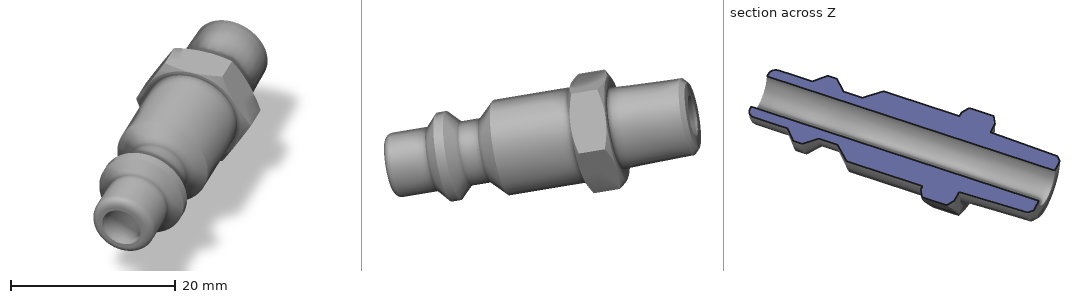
import cadquery as cq
import math

TOTAL_LENGTH = 38.0
BORE_DIAMETER = 5.0

NOSE_RADIUS = 7.95 / 2
TIP_FILLET = 1.0
RING_RADIUS = 11.0 / 2
RING_SLOPE_START = 5.4
RING_LAND_START = 6.8
RING_LAND_END = 8.0
RING_SLOPE_END = 9.55

BODY_RADIUS = 11.8 / 2
NECK_END = 12.0
BODY_START = 14.0

HEX_START = 24.0
HEX_LENGTH = 4.5
HEX_END = HEX_START + HEX_LENGTH
HEX_ACROSS_FLATS = 13.0
HEX_ACROSS_CORNERS = HEX_ACROSS_FLATS / math.cos(math.radians(30))
HEX_FACE_RADIUS = 12.9 / 2
HEX_CHAMFER_ANGLE = 30.0

GAUGE_DIAMETER = 9.728
GAUGE_LENGTH = 4.0
THREAD_TAPER = 1 / 16
THREAD_CHAMFER = 0.6


def thread_radius(y):
    """Radius of the tapered thread envelope at height y along the axis."""
    gauge_plane = TOTAL_LENGTH - GAUGE_LENGTH
    return (GAUGE_DIAMETER + (gauge_plane - y) * THREAD_TAPER) / 2


def revolve_about_y(profile):
    return profile.close().revolve(360, (0, 0, 0), (0, 1, 0))


def make_plug_body():
    """Nose, locking ring, neck and cylindrical body, from the tip to the hexagon."""
    arc_offset = TIP_FILLET * math.sin(math.radians(45))
    arc_middle = (NOSE_RADIUS - TIP_FILLET + arc_offset, TIP_FILLET - arc_offset)
    profile = (
        cq.Workplane("XY")
        .lineTo(NOSE_RADIUS - TIP_FILLET, 0)
        .threePointArc(arc_middle, (NOSE_RADIUS, TIP_FILLET))
        .lineTo(NOSE_RADIUS, RING_SLOPE_START)
        .lineTo(RING_RADIUS, RING_LAND_START)
        .lineTo(RING_RADIUS, RING_LAND_END)
        .lineTo(NOSE_RADIUS, RING_SLOPE_END)
        .lineTo(NOSE_RADIUS, NECK_END)
        .lineTo(BODY_RADIUS, BODY_START)
        .lineTo(BODY_RADIUS, HEX_START)
        .lineTo(0, HEX_START)
    )
    return revolve_about_y(profile)


def make_hexagon():
    """Hexagonal prism trimmed by a double cone that chamfers its corners."""
    prism = (
        cq.Workplane("XZ", origin=(0, HEX_START, 0))
        .polygon(6, HEX_ACROSS_CORNERS)
        .extrude(-HEX_LENGTH)
    )
    corner_radius = HEX_ACROSS_CORNERS / 2
    chamfer_depth = (corner_radius - HEX_FACE_RADIUS) * math.tan(math.radians(HEX_CHAMFER_ANGLE))
    envelope = (
        cq.Workplane("XY")
        .moveTo(0, HEX_START)
        .lineTo(HEX_FACE_RADIUS, HEX_START)
        .lineTo(corner_radius, HEX_START + chamfer_depth)
        .lineTo(corner_radius, HEX_END - chamfer_depth)
        .lineTo(HEX_FACE_RADIUS, HEX_END)
        .lineTo(0, HEX_END)
    )
    return prism.intersect(revolve_about_y(envelope))


def make_thread():
    """Tapered thread envelope with a 45 degree chamfer at its free end."""
    chamfer_start = TOTAL_LENGTH - THREAD_CHAMFER
    end_radius = thread_radius(chamfer_start)
    profile = (
        cq.Workplane("XY")
        .moveTo(0, HEX_END)
        .lineTo(thread_radius(HEX_END), HEX_END)
        .lineTo(end_radius, chamfer_start)
        .lineTo(end_radius - THREAD_CHAMFER, TOTAL_LENGTH)
        .lineTo(0, TOTAL_LENGTH)
    )
    return revolve_about_y(profile)


def make_bore():
    """Straight passage through the whole length."""
    return cq.Workplane("XZ").circle(BORE_DIAMETER / 2).extrude(-TOTAL_LENGTH)


result = make_plug_body().union(make_hexagon()).union(make_thread()).cut(make_bore())